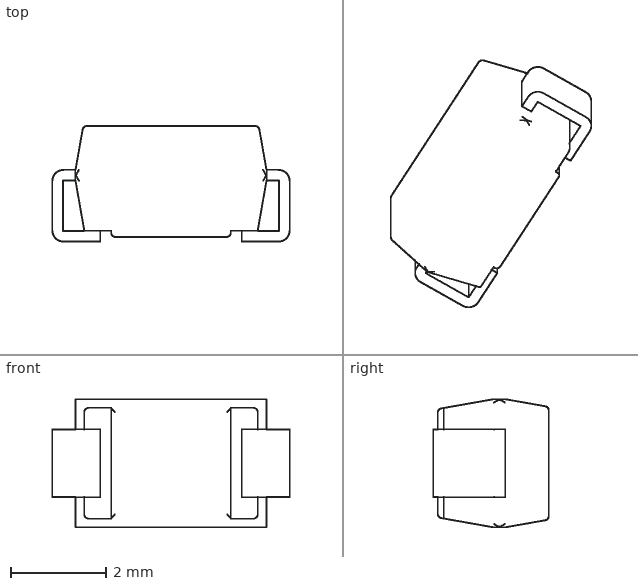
import cadquery as cq
import math

overall_length = 5.0
overall_depth = 2.44

body_length = 4.02
body_height = 2.7
band_front = 1.27
band_back = 1.525
draft_angle = 10.0
body_fillet = 0.1

pad_front = 0.095
pad_length = 2.525

lead_thickness = 0.23
lead_width = 1.425
lead_back = 1.515
lead_bend_radius = 0.24
foot_length = 1.015
lead_embed = 0.25

band_middle = (band_front + band_back) / 2
half_band = (band_back - band_front) / 2
shoulder_front = lead_thickness
half_length = overall_length / 2


def box_between(x_range, y_range, height):
    """Box between two X and two Y limits, centred on Z = 0."""
    x_size = x_range[1] - x_range[0]
    y_size = y_range[1] - y_range[0]
    x_middle = sum(x_range) / 2
    y_middle = sum(y_range) / 2
    return cq.Workplane("XY").box(x_size, y_size, height).translate((x_middle, y_middle, 0))


def tapered_half(end_y):
    """Drafted block from the middle of the band to end_y, with rounded corner edges."""
    overshoot = 2 * half_band * math.tan(math.radians(draft_angle))
    return (
        cq.Workplane("XZ", origin=(0, band_middle, 0))
        .rect(body_length + overshoot, body_height + overshoot)
        .extrude(band_middle - end_y, taper=draft_angle)
        .edges("not(#Y)")
        .fillet(body_fillet)
    )


def make_body():
    back = tapered_half(overall_depth).faces(">Y").edges().fillet(body_fillet)

    front = tapered_half(pad_front)
    for side in (-1, 1):
        x_range = sorted((side * pad_length / 2, side * half_length))
        front = front.cut(box_between(x_range, (0, shoulder_front), body_height))
    front = front.faces("<Y").edges().fillet(body_fillet)

    band_limits = box_between((-body_length / 2, body_length / 2), (0, overall_depth), body_height)
    return back.union(front).intersect(band_limits)


def make_lead():
    """C-shaped lead at the -X end, its foot turned in under the body."""
    outer_x = -half_length
    inner_x = outer_x + lead_thickness
    foot_tip_x = outer_x + foot_length
    arm_tip_x = -body_length / 2 + lead_embed
    arm_front = lead_back - lead_thickness
    return (
        cq.Workplane("XY", origin=(0, 0, -lead_width / 2))
        .moveTo(foot_tip_x, 0)
        .lineTo(outer_x, 0)
        .lineTo(outer_x, lead_back)
        .lineTo(arm_tip_x, lead_back)
        .lineTo(arm_tip_x, arm_front)
        .lineTo(inner_x, arm_front)
        .lineTo(inner_x, lead_thickness)
        .lineTo(foot_tip_x, lead_thickness)
        .close()
        .extrude(lead_width)
        .faces("<X")
        .edges("|Z")
        .fillet(lead_bend_radius)
    )


lead = make_lead()
result = make_body().union(lead).union(lead.mirror("YZ"))